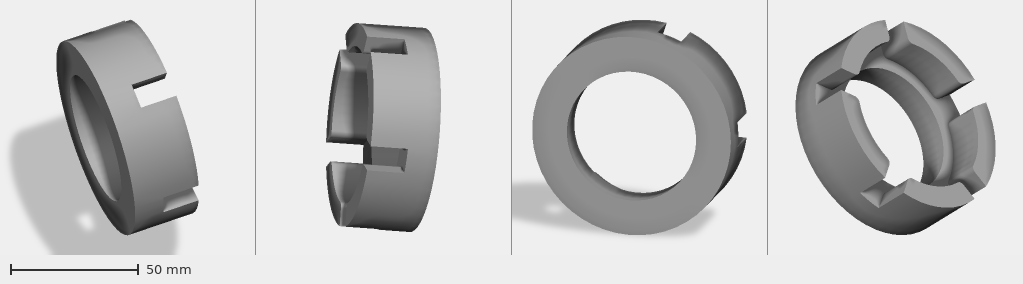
import cadquery as cq
import math

outer_diameter = 80
bore_diameter = 52
tooth_bore_diameter = 62.0
ring_length = 27.0
slot_depth = 15.0
slot_count = 5
slot_width = 10.0
tooth_corner_radius = 2.5

base_length = ring_length - slot_depth


def ring(inner_diameter, start, length):
    """Ring about the Y axis, running from y = start towards +Y."""
    return (
        cq.Workplane("XZ", origin=(0, start, 0))
        .circle(outer_diameter / 2)
        .circle(inner_diameter / 2)
        .extrude(-length)
    )


def slot(index):
    """Radial slot cutter; the first slot points along +X."""
    return (
        cq.Workplane("XY")
        .box(outer_diameter, slot_depth, slot_width, centered=(False, False, True))
        .translate((0, base_length, 0))
        .rotate((0, 0, 0), (0, 1, 0), index * 360 / slot_count)
    )


def teeth():
    """Toothed half of the ring with rounded inner tooth corners."""
    crown = ring(tooth_bore_diameter, base_length, slot_depth)
    for index in range(slot_count):
        crown = crown.cut(slot(index))
    middle_radius = (outer_diameter + tooth_bore_diameter) / 4
    inner_corners = crown.edges("|Y").filter(
        lambda edge: math.hypot(edge.Center().x, edge.Center().z) < middle_radius
    )
    return inner_corners.fillet(tooth_corner_radius)


base = ring(bore_diameter, 0, base_length)
result = base.union(teeth())